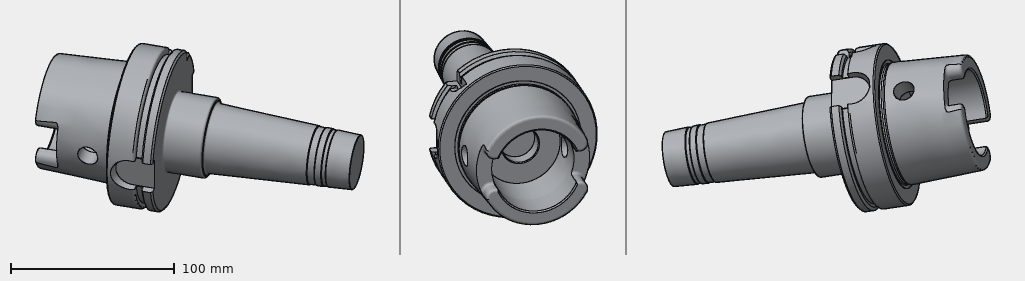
import cadquery as cq
import math


SHANK_LENGTH = 50.0
SHANK_MOUTH_RADIUS = 35.6
SHANK_BASE_RADIUS = 37.9
RIM_FILLET = 1.8
RELIEF_RADIUS = 37.3
RELIEF_START = -2.9
RELIEF_FLOOR_START = -1.8
RELIEF_FLOOR_END = -0.6
RELIEF_END_RADIUS = 37.7
FACE_RECESS_RADIUS = 39.7
FACE_RECESS_DEPTH = 0.4

BORE_RADIUS = 26.5
BORE_STRAIGHT_LENGTH = 19.6
BORE_END_RADIUS = 25.0
BORE_DEPTH = 44.0
BORE_MOUTH_CHAMFER = 0.9
CENTRE_HOLE_RADIUS = 12.0
CENTRE_HOLE_DEPTH = 10.0
CENTRE_HOLE_CHAMFER = 0.6

CROSS_HOLE_RADIUS = 6.4
CROSS_HOLE_X = -15.0

SLOT_HALF_WIDTH = 10.0
SLOT_FLAT_Y = 31.8
SLOT_CORNER_RADIUS = 5.0
SLOT_FLOOR_FILLET = 1.8
DEEP_SLOT_DEPTH = 15.0
SHALLOW_SLOT_DEPTH = 10.0
SELECTION_MARGIN = 1.0

FLANGE_RADIUS = 50.0
FLANGE_WIDTH = 29.0
FLANGE_FRONT_CHAMFER = 0.8
FLANGE_REAR_CHAMFER = 1.2
GROOVE_RADIUS = 46.0
GROOVE_START = 17.7
GROOVE_END = 21.8
GROOVE_EDGE_FILLET = 1.4
GROOVE_CHAMFER_WIDTH = 1.2
GROOVE_CHAMFER_DEPTH = 2.0

KEYWAY_FLOOR_Y = 44.0
KEYWAY_RADIUS = 10.8
KEYWAY_CENTRE_X = 15.4
KEYWAY_MOUTH_RADIUS = 11.1
KEYWAY_MOUTH_CENTRE_X = 14.0
NOTCH_RADIUS = 10.0
NOTCH_CENTRE_X = 14.5
NOTCH_FLOOR_Y = 31.1
NOTCH_WALL_Z = 31.7

NOSE_END = 145.0
NECK_RADIUS = 25.0
NECK_END = 53.5
NECK_ROOT_FILLET = 0.9
NECK_FILLET = 1.3
NOSE_START = 55.2
NOSE_START_RADIUS = 21.7
NOSE_ROOT_FILLET = 1.3
NOSE_TAPER_DEG = 3.0
NOSE_END_CHAMFER = 0.3
BAND_DEPTH = 0.4
BAND_WALL = 0.5
BANDS = [(118.0, 123.2), (127.0, 130.2)]


def nose_radius(x):
    return NOSE_START_RADIUS - (x - NOSE_START) * math.tan(math.radians(NOSE_TAPER_DEG))


def revolve_about_x(profile):
    return profile.close().revolve(360, (0, 0, 0), (1, 0, 0))


def make_body():
    """Outer turned form, from the shank mouth to the nose end."""
    profile = (
        cq.Workplane("XY")
        .moveTo(-SHANK_LENGTH, 0)
        .lineTo(-SHANK_LENGTH, SHANK_MOUTH_RADIUS)
        .lineTo(RELIEF_START, SHANK_BASE_RADIUS)
        .lineTo(RELIEF_FLOOR_START, RELIEF_RADIUS)
        .lineTo(RELIEF_FLOOR_END, RELIEF_RADIUS)
        .lineTo(FACE_RECESS_DEPTH, RELIEF_END_RADIUS)
        .lineTo(FACE_RECESS_DEPTH, FACE_RECESS_RADIUS)
        .lineTo(0, FACE_RECESS_RADIUS)
        .lineTo(0, FLANGE_RADIUS - FLANGE_FRONT_CHAMFER)
        .lineTo(FLANGE_FRONT_CHAMFER, FLANGE_RADIUS)
        .lineTo(GROOVE_START - GROOVE_EDGE_FILLET, FLANGE_RADIUS)
        .radiusArc((GROOVE_START, FLANGE_RADIUS - GROOVE_EDGE_FILLET), GROOVE_EDGE_FILLET)
        .lineTo(GROOVE_START, GROOVE_RADIUS)
        .lineTo(GROOVE_END, GROOVE_RADIUS)
        .lineTo(GROOVE_END, FLANGE_RADIUS - GROOVE_CHAMFER_DEPTH)
        .lineTo(GROOVE_END + GROOVE_CHAMFER_WIDTH, FLANGE_RADIUS)
        .lineTo(FLANGE_WIDTH - FLANGE_REAR_CHAMFER, FLANGE_RADIUS)
        .lineTo(FLANGE_WIDTH, FLANGE_RADIUS - FLANGE_REAR_CHAMFER)
        .lineTo(FLANGE_WIDTH, NECK_RADIUS + NECK_ROOT_FILLET)
        .radiusArc((FLANGE_WIDTH + NECK_ROOT_FILLET, NECK_RADIUS), -NECK_ROOT_FILLET)
        .lineTo(NECK_END - NECK_FILLET, NECK_RADIUS)
        .radiusArc((NECK_END, NECK_RADIUS - NECK_FILLET), NECK_FILLET)
        .lineTo(NOSE_START - NOSE_ROOT_FILLET, NOSE_START_RADIUS + NOSE_ROOT_FILLET)
        .radiusArc((NOSE_START, NOSE_START_RADIUS), -NOSE_ROOT_FILLET)
    )
    for start, end in BANDS:
        profile = (
            profile.lineTo(start, nose_radius(start))
            .lineTo(start + BAND_WALL, nose_radius(start) - BAND_DEPTH)
            .lineTo(end - BAND_WALL, nose_radius(end) - BAND_DEPTH)
            .lineTo(end, nose_radius(end))
        )
    profile = (
        profile.lineTo(NOSE_END - NOSE_END_CHAMFER, nose_radius(NOSE_END))
        .lineTo(NOSE_END, nose_radius(NOSE_END) - NOSE_END_CHAMFER)
        .lineTo(NOSE_END, 0)
    )
    return revolve_about_x(profile)


def make_bore():
    """Clamping bore: mouth chamfer, straight part, slight taper and centre hole."""
    mouth = -SHANK_LENGTH
    floor = mouth + BORE_DEPTH
    profile = (
        cq.Workplane("XY")
        .moveTo(mouth, 0)
        .lineTo(mouth, BORE_RADIUS + BORE_MOUTH_CHAMFER)
        .lineTo(mouth + BORE_MOUTH_CHAMFER, BORE_RADIUS)
        .lineTo(mouth + BORE_STRAIGHT_LENGTH, BORE_RADIUS)
        .lineTo(floor, BORE_END_RADIUS)
        .lineTo(floor, CENTRE_HOLE_RADIUS)
        .lineTo(floor + CENTRE_HOLE_CHAMFER, CENTRE_HOLE_RADIUS - CENTRE_HOLE_CHAMFER)
        .lineTo(floor + CENTRE_HOLE_DEPTH, CENTRE_HOLE_RADIUS - CENTRE_HOLE_CHAMFER)
        .lineTo(floor + CENTRE_HOLE_DEPTH, 0)
    )
    return revolve_about_x(profile)


def make_drive_slot(side, depth):
    """Cutter for one drive slot on the +Y (side = 1) or -Y (side = -1) wall."""
    corner_y = SLOT_FLAT_Y - SLOT_CORNER_RADIUS
    corner_z = SLOT_HALF_WIDTH + SLOT_CORNER_RADIUS
    clear = FLANGE_RADIUS
    cutter = (
        cq.Workplane("YZ", origin=(-SHANK_LENGTH, 0, 0))
        .moveTo(0, -SLOT_HALF_WIDTH)
        .lineTo(corner_y, -SLOT_HALF_WIDTH)
        .radiusArc((SLOT_FLAT_Y, -corner_z), SLOT_CORNER_RADIUS)
        .lineTo(SLOT_FLAT_Y, -clear)
        .lineTo(clear, -clear)
        .lineTo(clear, clear)
        .lineTo(SLOT_FLAT_Y, clear)
        .lineTo(SLOT_FLAT_Y, corner_z)
        .radiusArc((corner_y, SLOT_HALF_WIDTH), SLOT_CORNER_RADIUS)
        .lineTo(0, SLOT_HALF_WIDTH)
        .close()
        .extrude(depth)
    )
    floor_x = -SHANK_LENGTH + depth
    wall_edges = cq.selectors.BoxSelector(
        (floor_x - SELECTION_MARGIN, SELECTION_MARGIN, -clear + SELECTION_MARGIN),
        (floor_x + SELECTION_MARGIN, clear - SELECTION_MARGIN, clear - SELECTION_MARGIN),
    )
    cutter = cutter.edges(wall_edges).fillet(SLOT_FLOOR_FILLET)
    return cutter if side > 0 else cutter.mirror("XZ")


def make_cross_hole():
    return (
        cq.Workplane("XZ", origin=(CROSS_HOLE_X, 0, 0))
        .circle(CROSS_HOLE_RADIUS)
        .extrude(FLANGE_RADIUS, both=True)
    )


def make_round_slot(radius, centre_x, centre_z, floor_y):
    """Slot cutter running to +X from a round end, from floor_y outwards to +Y."""
    length = FLANGE_WIDTH - centre_x
    height = FLANGE_RADIUS - floor_y
    plane = cq.Workplane("XZ", origin=(centre_x, floor_y, centre_z))
    end = plane.circle(radius).extrude(-height)
    run = plane.center(length / 2, 0).rect(length, 2 * radius).extrude(-height)
    return end.union(run)


def make_keyway(side):
    """Flange keyway whose round end leans outwards to a wider mouth."""
    height = FLANGE_RADIUS - KEYWAY_FLOOR_Y
    slot = make_round_slot(KEYWAY_RADIUS, KEYWAY_CENTRE_X, 0, KEYWAY_FLOOR_Y)
    mouth_shift = KEYWAY_MOUTH_CENTRE_X - KEYWAY_CENTRE_X
    leaning_end = (
        cq.Workplane("XZ", origin=(KEYWAY_CENTRE_X, KEYWAY_FLOOR_Y, 0))
        .circle(KEYWAY_RADIUS)
        .workplane(offset=-height)
        .center(mouth_shift, 0)
        .circle(KEYWAY_MOUTH_RADIUS)
        .loft()
    )
    cutter = slot.union(leaning_end)
    return cutter if side > 0 else cutter.mirror("XZ")


def make_notch():
    """Offset round-ended notch in the upper +Y quarter of the flange."""
    centre_z = NOTCH_WALL_Z + NOTCH_RADIUS
    return make_round_slot(NOTCH_RADIUS, NOTCH_CENTRE_X, centre_z, NOTCH_FLOOR_Y)


result = make_body()
result = result.cut(make_drive_slot(-1, DEEP_SLOT_DEPTH))
result = result.cut(make_drive_slot(1, SHALLOW_SLOT_DEPTH))
result = result.faces("<X").edges().fillet(RIM_FILLET)
result = result.cut(make_bore())
result = result.cut(make_cross_hole())
result = result.cut(make_notch())
for keyway_side in (-1, 1):
    result = result.cut(make_keyway(keyway_side))